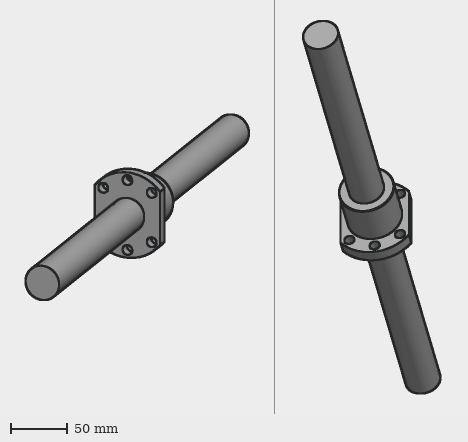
import cadquery as cq

shaft_length = 500.0
shaft_diameter = 32.0

nut_length = 52.0
barrel_diameter = 50.0
barrel_chamfer = 0.5
flange_diameter = 79.5
flange_width = 62.0
flange_thickness = 12.0

bolt_circle_diameter = 65.0
bolt_hole_diameter = 9.0
bolt_angles = (45, 90, 135, 225, 270, 315)

nut_front = -nut_length / 2


def cylinder_along_y(diameter, start, length):
    """Solid cylinder on the Y axis, running from start toward +Y."""
    return cq.Workplane("XZ", origin=(0, start, 0)).circle(diameter / 2).extrude(-length)


def make_shaft():
    return cylinder_along_y(shaft_diameter, -shaft_length / 2, shaft_length)


def make_flange():
    """Round flange with two flat sides and through holes."""
    disc = cylinder_along_y(flange_diameter, nut_front, flange_thickness)
    flats = cq.Workplane("XY").box(flange_width, nut_length, flange_diameter)
    flange = disc.intersect(flats)
    for angle in bolt_angles:
        hole = cylinder_along_y(bolt_hole_diameter, nut_front, flange_thickness)
        hole = hole.translate((bolt_circle_diameter / 2, 0, 0))
        flange = flange.cut(hole.rotate((0, 0, 0), (0, 1, 0), angle))
    return flange


def make_nut():
    """Chamfered barrel and flange, bored to fit the shaft."""
    barrel = cylinder_along_y(barrel_diameter, nut_front, nut_length)
    barrel = barrel.faces(">Y").edges().chamfer(barrel_chamfer)
    bore = cylinder_along_y(shaft_diameter, nut_front, nut_length)
    return barrel.union(make_flange()).cut(bore)


shaft = make_shaft()
nut = make_nut()
result = cq.Compound.makeCompound([shaft.val(), nut.val()])